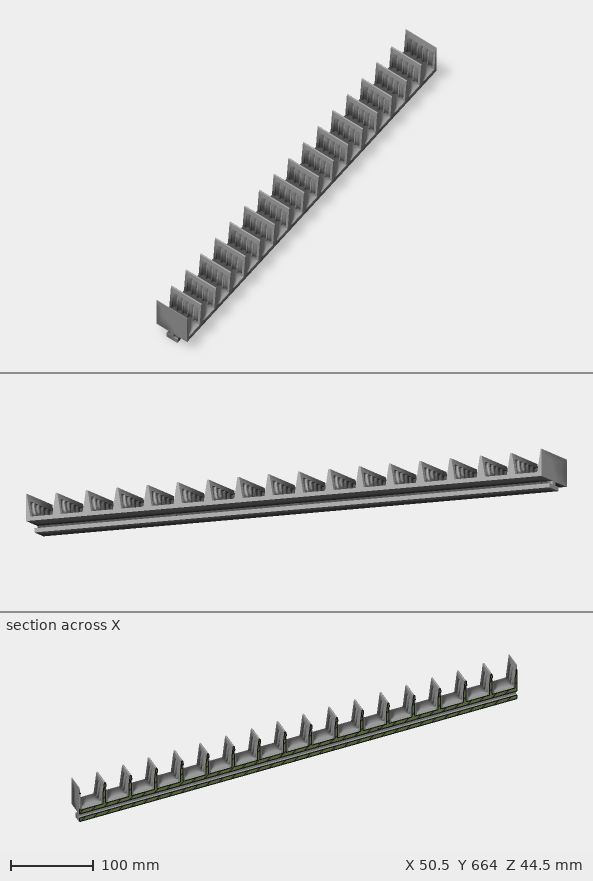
import cadquery as cq
import math

LENGTH = 664.0
WIDTH = 50.5
HEIGHT = 44.5

FLANGE_TOP = 5.0
BASE_BOTTOM = 10.0
BASE_TOP = 15.0
DIVIDER_TOP = 42.5

SKEW_ANGLE = 19.0
GAP_COUNT = 17
ROOT_THICKNESS = 10.5
CREST_RADIUS = 1.0
END_CREST_THICKNESS = 0.8

POCKET_COUNT = 5
RIB_WIDTH = 3.0
POCKET_WIDTH = 5.65
POCKET_FLARE = 1.0
POCKET_FLARE_BOTTOM = 32.0
POCKET_DRAFT = 15.0
POCKET_BOTTOM = BASE_TOP
POCKET_TOP = 36.0
WEB_THICKNESS = 2.5

FLANGE_WIDTH = 18.0
NECK_WIDTH = 6.0
LUG_WIDTH = 7.0
LUG_LENGTH = 6.5
LUG_COUNT = 5
LUG_PITCH = 153.0

SKEW_SLOPE = math.tan(math.radians(SKEW_ANGLE))
SKEW_SHIFT = WIDTH * SKEW_SLOPE
AXIAL_LENGTH = LENGTH - SKEW_SHIFT
Y_END = AXIAL_LENGTH / 2
DIVIDER_PITCH = AXIAL_LENGTH / GAP_COUNT
POCKET_PITCH = POCKET_WIDTH + RIB_WIDTH


def skewed_slab(width, y_start, y_end, bottom, top):
    """Slab centred on X whose two ends lean with the dividers."""
    half = width / 2
    shift = half * SKEW_SLOPE
    corners = [
        (-half, y_start + shift),
        (half, y_start - shift),
        (half, y_end - shift),
        (-half, y_end + shift),
    ]
    return cq.Workplane("XY").workplane(offset=bottom).polyline(corners).close().extrude(top - bottom)


def skewed_wall(profile):
    """Sweep a (y, z) profile across the width along the skewed direction."""
    half = WIDTH / 2
    near_face = cq.Face.makeFromWires(profile.wires().val())
    near_face = near_face.moved(cq.Location(cq.Vector(-half, half * SKEW_SLOPE, 0)))
    return cq.Workplane(cq.Solid.extrudeLinear(near_face, cq.Vector(WIDTH, -SKEW_SHIFT, 0)))


def divider(y):
    """Tapered wall with a fully rounded crest."""
    root = ROOT_THICKNESS / 2
    spring = DIVIDER_TOP - CREST_RADIUS
    return skewed_wall(
        cq.Workplane("YZ")
        .moveTo(y - root, BASE_TOP)
        .lineTo(y + root, BASE_TOP)
        .lineTo(y + CREST_RADIUS, spring)
        .threePointArc((y, DIVIDER_TOP), (y - CREST_RADIUS, spring))
        .close()
    )


def end_wall(y, inward):
    """Taller half divider with an upright outer face."""
    return skewed_wall(
        cq.Workplane("YZ")
        .moveTo(y, BASE_TOP)
        .lineTo(y + inward * ROOT_THICKNESS / 2, BASE_TOP)
        .lineTo(y + inward * END_CREST_THICKNESS, HEIGHT)
        .lineTo(y, HEIGHT)
        .close()
    )


def pocket_row(y, side):
    """Flared pockets in one face of the wall at y; side is +1 or -1 along Y."""
    half = POCKET_WIDTH / 2
    half_flare = half + POCKET_FLARE
    row = cq.Workplane("XY")
    for i in range(POCKET_COUNT):
        x = (i - (POCKET_COUNT - 1) / 2) * POCKET_PITCH
        y_floor = y + side * WEB_THICKNESS / 2 - x * SKEW_SLOPE
        outline = [
            (-half, POCKET_BOTTOM),
            (half, POCKET_BOTTOM),
            (half, POCKET_FLARE_BOTTOM),
            (half_flare, POCKET_TOP),
            (-half_flare, POCKET_TOP),
            (-half, POCKET_FLARE_BOTTOM),
        ]
        pocket = cq.Workplane("XZ", origin=(x, y_floor, 0)).polyline(outline).close()
        row = row.add(pocket.extrude(-side * ROOT_THICKNESS / 2, taper=-POCKET_DRAFT))
    return row.combine()


def rail():
    """T-shaped rail with lugs thickening its neck at regular steps."""
    neck = skewed_slab(NECK_WIDTH, -Y_END, Y_END, FLANGE_TOP, BASE_BOTTOM)
    flange = skewed_slab(FLANGE_WIDTH, -Y_END, Y_END, 0, FLANGE_TOP)
    lugs = (
        cq.Workplane("XY")
        .workplane(offset=FLANGE_TOP)
        .rarray(6.5, LUG_PITCH, 1, LUG_COUNT)
        .rect(LUG_WIDTH, LUG_LENGTH)
        .extrude(BASE_BOTTOM - FLANGE_TOP)
    )
    return flange.union(neck).union(lugs)


base = skewed_slab(WIDTH, -Y_END, Y_END, BASE_BOTTOM, BASE_TOP)
body = base.union(rail())

for end in (-1, 1):
    wall = end_wall(end * Y_END, -end)
    body = body.union(wall.cut(pocket_row(end * Y_END, -end)))

for i in range(1, GAP_COUNT):
    y = i * DIVIDER_PITCH - Y_END
    wall = divider(y).cut(pocket_row(y, 1)).cut(pocket_row(y, -1))
    body = body.union(wall)

result = body